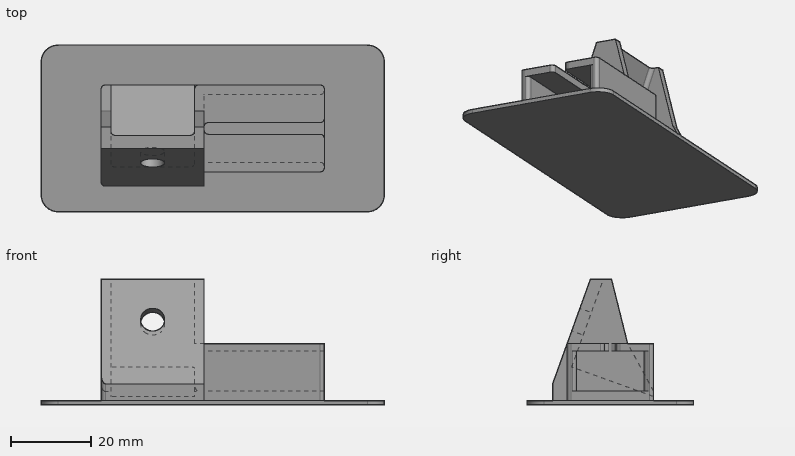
import cadquery as cq
import math

plate_length = 85.6
plate_width = 41.6
plate_thickness = 1.0
plate_corner_radius = 4.3

body_length = 55.6
body_width = 21.65
rail_top = 15.2
corner_radius = 1.0
slot_width = 2.9
lip_thickness = 1.9
channel_wall = 2.4
channel_floor = plate_thickness + channel_wall

head_length = 25.7
head_top = 31.3
head_front = -14.4
front_slope_bottom = 5.2
ridge_front = -5.0
ridge_back = 0.3
back_bend_y = 4.4
back_bend_z = rail_top
back_slope_bottom = 3.3

side_wall = 2.4
front_wall = 3.25
recess_back_z = 2.05
hole_diameter = 6.0
hole_height = 21.2
hole_tool_length = 3 * front_wall
overcut = 8.6

body_left = -body_length / 2
body_right = body_length / 2
body_back = body_width / 2
head_right = body_left + head_length
head_center_x = body_left + head_length / 2
recess_length = head_length - 2 * side_wall
recess_right = head_right - side_wall

front_run = (ridge_front - head_front) / (head_top - front_slope_bottom)
front_tilt = math.atan(front_run)


def front_face_y(height):
    return ridge_front - (head_top - height) * front_run


def side_prism(points, x_start, length):
    """Extrude a (Y, Z) outline along X."""
    return cq.Workplane("YZ", origin=(x_start, 0, 0)).polyline(points).close().extrude(length)


def make_plate():
    plate = cq.Workplane("XY").rect(plate_length, plate_width).extrude(plate_thickness)
    return plate.edges("|Z").fillet(plate_corner_radius)


def make_rails():
    """Block with a T-shaped channel open at the right end, its slot lying between two lips."""
    rail_length = body_right - head_right
    channel_width = body_width - 2 * channel_wall
    block = cq.Workplane("XY", origin=(head_right, 0, 0)).box(
        rail_length, body_width, rail_top, centered=(False, True, False)
    )
    channel = cq.Workplane("XY", origin=(head_right, 0, channel_floor)).box(
        rail_length, channel_width, rail_top - lip_thickness - channel_floor, centered=(False, True, False)
    )
    slot = cq.Workplane("XY", origin=(head_right, 0, channel_floor)).box(
        rail_length, slot_width, rail_top - channel_floor, centered=(False, True, False)
    )
    slot = slot.edges("|Z and <X").fillet(corner_radius)
    rails = block.cut(channel).cut(slot)
    return rails.edges("|Z and >X").fillet(corner_radius)


def make_rail_extension():
    """Part of the back rail that reaches past the head's right side, up to the recess."""
    extension = cq.Workplane("XY", origin=(recess_right, 0, 0)).box(
        side_wall, body_back, rail_top, centered=False
    )
    return extension.edges("|Z and <X and >Y").fillet(corner_radius)


def make_head():
    outline = [
        (head_front, 0),
        (head_front, front_slope_bottom),
        (ridge_front, head_top),
        (ridge_back, head_top),
        (back_bend_y, back_bend_z),
        (body_back, back_slope_bottom),
        (body_back, 0),
    ]
    head = side_prism(outline, body_left, head_length)
    return head.edges("|Z").edges("<X").fillet(corner_radius)


def make_recess():
    """Tool with a wall parallel to the front face and a floor square to that wall."""
    wall_top = ridge_front + front_wall
    depth_at_top = wall_top - body_back
    drop = head_top - recess_back_z
    height = (drop + front_run * depth_at_top) / (1 + front_run**2)
    wall_bottom = (wall_top - height * front_run, head_top - height)
    outline = [
        wall_bottom,
        (wall_top + overcut * front_run, head_top + overcut),
        (body_back + overcut, head_top + overcut),
        (body_back + overcut, recess_back_z - overcut * front_run),
    ]
    recess = side_prism(outline, recess_right - recess_length, recess_length)
    wall_middle = (head_center_x, wall_top, head_top)
    wall_face = recess.faces(cq.selectors.NearestToPointSelector(wall_middle))
    return wall_face.edges("not |X").fillet(corner_radius)


def make_hole():
    """Round hole square to the sloped front face."""
    axis = cq.Vector(0, math.cos(front_tilt), -math.sin(front_tilt))
    center = cq.Vector(head_center_x, front_face_y(hole_height), hole_height)
    start = center - axis * front_wall
    return cq.Workplane(cq.Solid.makeCylinder(hole_diameter / 2, hole_tool_length, start, axis))


head = make_head().cut(make_recess()).cut(make_hole())
result = make_plate().union(make_rails()).union(make_rail_extension()).union(head)